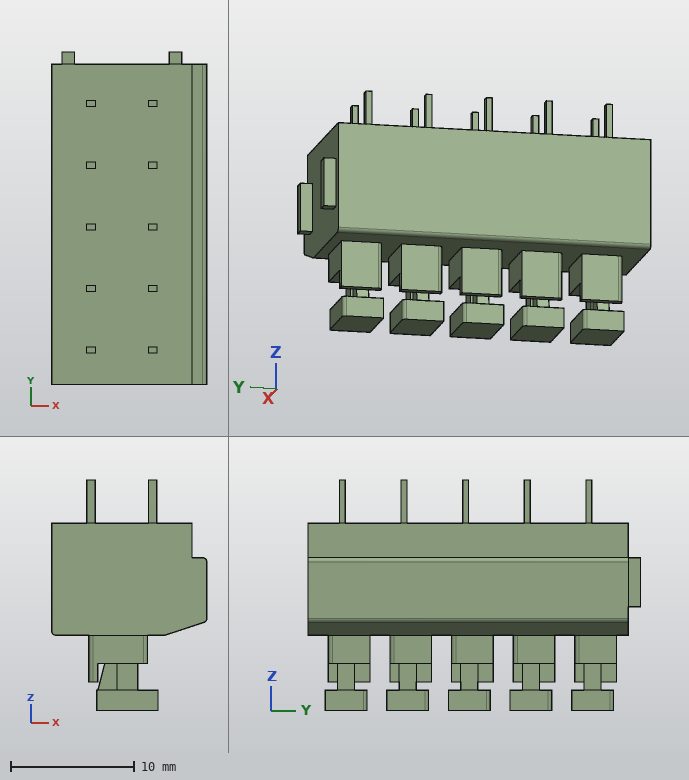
import cadquery as cq

housing_length = 26.0
housing_height = 9.1
body_width = 11.4
overall_width = 12.6
ledge_z = 6.3
slope_start_x = 9.2
slope_end_z = 1.12
edge_radius = 0.35

peg_width = 1.05
peg_length = 1.0
peg_bottom_z = 2.3
peg_height = 4.0
peg_center_x = (1.35, 10.05)

pole_count = 5
pole_pitch = 5.0
first_pole_y = 2.8

pin_size_x = 0.7
pin_size_y = 0.5
pin_height = 3.5
pin_center_x = (3.2, 8.2)

guide_left_x = 3.0
guide_right_x = 7.8
guide_width = 3.4
guide_offset_y = 0.55
guide_depth = 2.3
lip_thickness = 0.75
lip_depth = 3.8
guide_radius = 0.35

button_left_x = 3.65
button_size_x = 5.0
button_width = 3.4
button_offset_y = 0.3
button_top_z = -4.45
button_height = 1.65
button_radius = 0.3

stem_left_x = 5.3
stem_right_x = 7.0
stem_width = 1.4
stem_offset_y = 0.3
rib_top_x = 4.3
rib_bottom_x = 3.75
rib_width = 1.0


def box(x, y, z, size_x, size_y, size_z):
    """Box centred on x and y, rising from z."""
    return cq.Workplane("XY").box(size_x, size_y, size_z, centered=(True, True, False)).translate((x, y, z))


def extrude_profile(points, center_y, width):
    """Extrude an XZ outline symmetrically about center_y."""
    profile = cq.Workplane("XZ", origin=(0, center_y, 0)).polyline(points).close()
    return profile.extrude(width / 2, both=True)


def make_housing():
    outline = [
        (0, 0),
        (slope_start_x, 0),
        (overall_width, slope_end_z),
        (overall_width, ledge_z),
        (body_width, ledge_z),
        (body_width, housing_height),
        (0, housing_height),
    ]
    housing = extrude_profile(outline, housing_length / 2, housing_length)
    outer_edges = housing.edges("|Y").edges(">X")
    bottom_left_edge = housing.edges("|Y").edges("<Z").edges("<X")
    return housing.newObject(outer_edges.vals() + bottom_left_edge.vals()).fillet(edge_radius)


def make_peg(peg_x):
    return box(
        peg_x,
        housing_length + peg_length / 2,
        peg_bottom_z,
        peg_width,
        peg_length,
        peg_height,
    )


def make_pin(pin_x, pole_y):
    return box(pin_x, pole_y, housing_height, pin_size_x, pin_size_y, pin_height)


def make_guide(pole_y):
    outline = [
        (guide_left_x, 0),
        (guide_right_x, 0),
        (guide_right_x, -guide_depth),
        (guide_left_x + lip_thickness, -guide_depth),
        (guide_left_x + lip_thickness, -lip_depth),
        (guide_left_x, -lip_depth),
    ]
    guide = extrude_profile(outline, pole_y + guide_offset_y, guide_width)
    front_edges = guide.faces("<Y").edges("|Z")
    front_corners = front_edges.edges("<X").vals() + front_edges.edges(">X").vals()
    return guide.newObject(front_corners).fillet(guide_radius)


def make_stem(pole_y):
    center_y = pole_y + stem_offset_y
    stem = box(
        (stem_left_x + stem_right_x) / 2,
        center_y,
        button_top_z,
        stem_right_x - stem_left_x,
        stem_width,
        -guide_depth - button_top_z,
    )
    rib_outline = [
        (rib_top_x, -guide_depth),
        (stem_left_x, -guide_depth),
        (stem_left_x, button_top_z),
        (rib_bottom_x, button_top_z),
    ]
    return stem.union(extrude_profile(rib_outline, center_y, rib_width))


def make_button(pole_y):
    button = box(
        button_left_x + button_size_x / 2,
        pole_y + button_offset_y,
        button_top_z - button_height,
        button_size_x,
        button_width,
        button_height,
    )
    return button.faces(">Y").edges("|Z").fillet(button_radius)


result = make_housing()
for peg_x in peg_center_x:
    result = result.union(make_peg(peg_x))

for pole in range(pole_count):
    pole_y = first_pole_y + pole * pole_pitch
    for pin_x in pin_center_x:
        result = result.union(make_pin(pin_x, pole_y))
    result = result.union(make_guide(pole_y))
    result = result.union(make_stem(pole_y))
    result = result.union(make_button(pole_y))